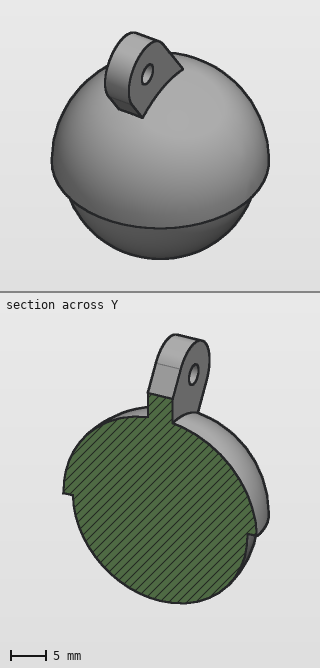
import cadquery as cq

BALL_RADIUS = 14.0
CAP_RADIUS = 15.5
CAP_TILT_ABOUT_X = 2.2
CAP_TILT_ABOUT_Y = 1.2

LUG_THICKNESS = 4.0
LUG_RADIUS = 5.0
LUG_LEAN = 35.0
LUG_HOLE_DIAMETER = 3.0
LUG_HOLE_Y = -6.6
LUG_HOLE_Z = 20.0
LUG_LENGTH = 14.0

X_AXIS_END = (1, 0, 0)
Y_AXIS_END = (0, 1, 0)
ORIGIN = (0, 0, 0)


def make_cap():
    """Hemispherical cap concentric with the ball, its rim slightly tilted."""
    cap = cq.Workplane("XY").sphere(CAP_RADIUS, angle1=0)
    cap = cap.rotate(ORIGIN, X_AXIS_END, CAP_TILT_ABOUT_X)
    return cap.rotate(ORIGIN, Y_AXIS_END, CAP_TILT_ABOUT_Y)


def make_lug():
    """Round-ended hanging lug with a cross hole, leaning toward -Y."""
    lug = (
        cq.Workplane("YZ")
        .moveTo(-LUG_RADIUS, -LUG_LENGTH)
        .lineTo(LUG_RADIUS, -LUG_LENGTH)
        .lineTo(LUG_RADIUS, 0)
        .threePointArc((0, LUG_RADIUS), (-LUG_RADIUS, 0))
        .close()
        .extrude(LUG_THICKNESS / 2, both=True)
    )
    hole = cq.Workplane("YZ").circle(LUG_HOLE_DIAMETER / 2).extrude(LUG_THICKNESS, both=True)
    leaning_lug = lug.cut(hole).rotate(ORIGIN, X_AXIS_END, LUG_LEAN)
    return leaning_lug.translate((0, LUG_HOLE_Y, LUG_HOLE_Z))


ball = cq.Workplane("XY").sphere(BALL_RADIUS)
result = ball.union(make_cap()).union(make_lug())